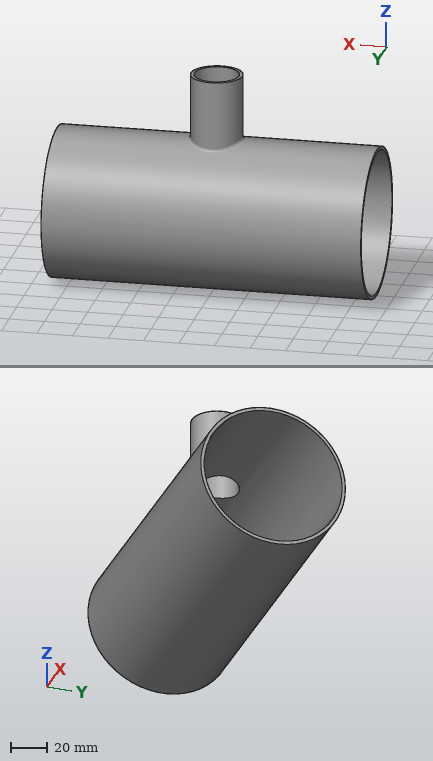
import cadquery as cq

pipe_length = 180.0
pipe_outer_diameter = 85.0
pipe_bore_diameter = 81.0

branch_outer_diameter = 29.0
branch_bore_diameter = 25.0
total_height = 122.5
branch_top = total_height - pipe_outer_diameter / 2

weld_radius = 2.0


def pipe_cylinder(diameter):
    """Cylinder along the full length of the main pipe."""
    return cq.Workplane("YZ").circle(diameter / 2).extrude(pipe_length / 2, both=True)


def branch_cylinder(diameter):
    """Cylinder from the main axis up to the branch mouth."""
    return cq.Workplane("XY").circle(diameter / 2).extrude(branch_top)


outer_body = pipe_cylinder(pipe_outer_diameter).union(branch_cylinder(branch_outer_diameter))

margin = 1.8
joint_reach = branch_outer_diameter / 2 + margin
joint_zone = cq.selectors.BoxSelector(
    (-joint_reach, -joint_reach, 0),
    (joint_reach, joint_reach, branch_top - margin),
    boundingbox=True,
)
outer_body = outer_body.edges(joint_zone).fillet(weld_radius)

result = outer_body.cut(pipe_cylinder(pipe_bore_diameter)).cut(branch_cylinder(branch_bore_diameter))